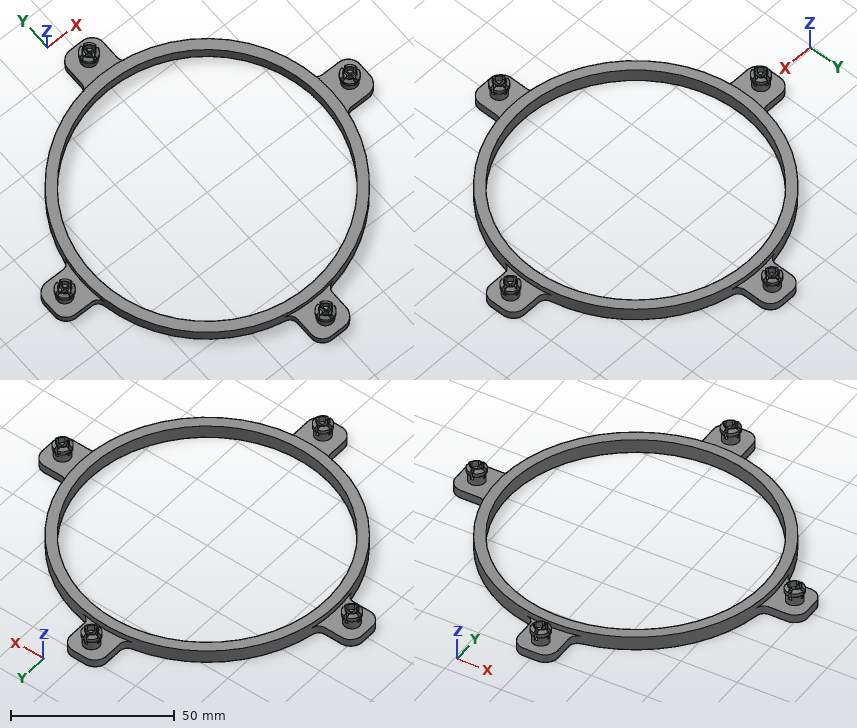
import cadquery as cq
import math

overall_span = 125.0
tab_count = 4

ring_outer_diameter = 99.0
ring_inner_diameter = 91.5
ring_height = 5.0

tab_width = 14.0
tab_thickness = 3.0
tab_corner_radius = 4.5
tab_root_radius = 3.0

peg_offset = 56.5
peg_diameter = 5.8
barb_diameter = 6.5
peg_tip_diameter = 4.4
barb_bottom = 6.5
barb_top = 7.9
peg_top = 8.8
peg_slot_width = 1.0
peg_slot_floor = 5.0
head_bore_diameter = 4.0
head_bore_floor = barb_bottom
pilot_hole_diameter = 2.0
pilot_hole_floor = tab_thickness


def make_ring():
    return (
        cq.Workplane("XY")
        .circle(ring_outer_diameter / 2)
        .circle(ring_inner_diameter / 2)
        .extrude(ring_height)
    )


def make_tab():
    """Tab along +X, flared into the ring by a concave root arc on each side."""
    ring_radius = ring_outer_diameter / 2
    half_width = tab_width / 2
    tip = overall_span / 2

    root_center_y = half_width + tab_root_radius
    root_center_x = math.sqrt((ring_radius + tab_root_radius) ** 2 - root_center_y**2)
    root_angle = math.atan2(root_center_y, root_center_x)
    ring_x = ring_radius * math.cos(root_angle)
    ring_y = ring_radius * math.sin(root_angle)
    middle_angle = (math.pi + root_angle + 3 * math.pi / 2) / 2
    middle_x = root_center_x + tab_root_radius * math.cos(middle_angle)
    middle_y = root_center_y + tab_root_radius * math.sin(middle_angle)
    inner_x = (ring_inner_diameter + ring_outer_diameter) / 4

    return (
        cq.Workplane("XY")
        .moveTo(inner_x, -ring_y)
        .lineTo(ring_x, -ring_y)
        .threePointArc((middle_x, -middle_y), (root_center_x, -half_width))
        .lineTo(tip, -half_width)
        .lineTo(tip, half_width)
        .lineTo(root_center_x, half_width)
        .threePointArc((middle_x, middle_y), (ring_x, ring_y))
        .lineTo(inner_x, ring_y)
        .close()
        .extrude(tab_thickness)
        .edges("|Z and >X")
        .fillet(tab_corner_radius)
    )


def make_hole(diameter, floor):
    """Cutter on the peg axis, from the floor height up to the peg top."""
    return cq.Workplane("XY", origin=(0, 0, floor)).circle(diameter / 2).extrude(peg_top - floor)


def make_peg():
    """Barbed peg with a bored head and crossed slots that split it in four."""
    peg = (
        cq.Workplane("XZ")
        .lineTo(peg_diameter / 2, 0)
        .lineTo(peg_diameter / 2, barb_bottom)
        .lineTo(barb_diameter / 2, barb_bottom)
        .lineTo(barb_diameter / 2, barb_top)
        .lineTo(peg_tip_diameter / 2, peg_top)
        .lineTo(0, peg_top)
        .close()
        .revolve(360, (0, 0), (0, 1))
    )
    head_bore = make_hole(head_bore_diameter, head_bore_floor)
    pilot_hole = make_hole(pilot_hole_diameter, pilot_hole_floor)
    slot = cq.Workplane("XY", origin=(0, 0, peg_slot_floor)).box(
        barb_diameter, peg_slot_width, peg_top - peg_slot_floor, centered=(True, True, False)
    )
    peg = peg.cut(head_bore).cut(pilot_hole).cut(slot).cut(slot.rotate((0, 0, 0), (0, 0, 1), 90))
    return peg.translate((peg_offset, 0, 0))


arm = make_tab().union(make_peg())
result = make_ring()
for index in range(tab_count):
    result = result.union(arm.rotate((0, 0, 0), (0, 0, 1), index * 360 / tab_count))